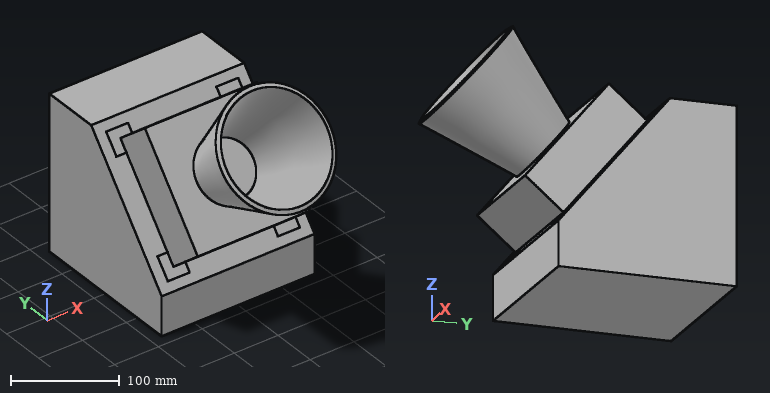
import cadquery as cq
import math

BASE_SIZE = 175.0
BASE_TOP_DEPTH = 65.5
SLOPE_ANGLE = 40.0

BLOCK_SIDE = 128.1
BLOCK_HEIGHT = 49.3

HORN_BASE_RADIUS = 35.0
HORN_MOUTH_RADIUS = 62.5
HORN_LENGTH = 98.8
HORN_WALL = 5.0

PAD_SIDE = 25.0
PAD_DEPTH = 11.0
PAD_SIDE_MARGIN = 12.0
PAD_END_MARGIN = 10.7

slope_run = BASE_SIZE - BASE_TOP_DEPTH
slope_rise = slope_run / math.tan(math.radians(SLOPE_ANGLE))
slope_length = math.hypot(slope_run, slope_rise)
front_height = BASE_SIZE - slope_rise

slope_plane = cq.Plane(
    origin=(0, slope_run / 2, front_height + slope_rise / 2),
    xDir=(1, 0, 0),
    normal=(0, -slope_rise, slope_run),
)

pad_x = BASE_SIZE / 2 - PAD_SIDE_MARGIN - PAD_SIDE / 2
pad_y = slope_length / 2 - PAD_END_MARGIN - PAD_SIDE / 2
pad_centers = [(side * pad_x, end * pad_y) for side in (-1, 1) for end in (-1, 1)]


def make_pad(center):
    """One square pad, its outer face flush with the sloped face."""
    return cq.Workplane(slope_plane).center(*center).rect(PAD_SIDE, PAD_SIDE).extrude(-PAD_DEPTH)


def make_base(pads):
    """Wedge-shaped base with a matching recess for each pad."""
    profile = [
        (0, 0),
        (BASE_SIZE, 0),
        (BASE_SIZE, BASE_SIZE),
        (slope_run, BASE_SIZE),
        (0, front_height),
    ]
    base = cq.Workplane("YZ").polyline(profile).close().extrude(BASE_SIZE / 2, both=True)
    for pad in pads:
        base = base.cut(pad)
    return base


def make_block():
    """Square block on the sloped face."""
    return cq.Workplane(slope_plane).rect(BLOCK_SIDE, BLOCK_SIDE).extrude(BLOCK_HEIGHT)


def make_horn():
    """Hollow cone, flat where it meets the block and with its rim cut square to the wall."""
    flare = math.atan2(HORN_MOUTH_RADIUS - HORN_BASE_RADIUS, HORN_LENGTH)
    base_z = BLOCK_HEIGHT
    mouth_z = base_z + HORN_LENGTH
    profile = [
        (HORN_BASE_RADIUS - HORN_WALL / math.cos(flare), base_z),
        (HORN_BASE_RADIUS, base_z),
        (HORN_MOUTH_RADIUS, mouth_z),
        (HORN_MOUTH_RADIUS - HORN_WALL * math.cos(flare), mouth_z + HORN_WALL * math.sin(flare)),
    ]
    axial_plane = cq.Plane(
        origin=slope_plane.origin,
        xDir=slope_plane.xDir,
        normal=-slope_plane.yDir,
    )
    return cq.Workplane(axial_plane).polyline(profile).close().revolve(360, (0, 0), (0, 1))


pads = [make_pad(center) for center in pad_centers]
base = make_base(pads)
block = make_block()
horn = make_horn()

result = cq.Compound.makeCompound(
    [base.val(), block.val(), horn.val(), *[pad.val() for pad in pads]]
)